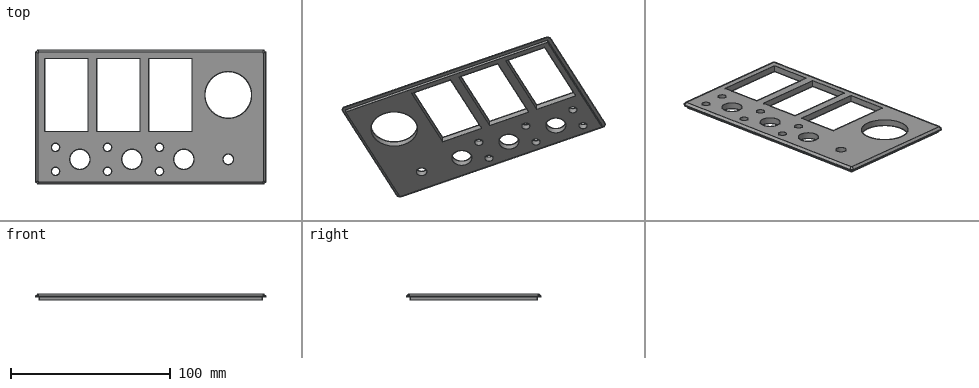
import cadquery as cq

length = 143.8
width = 84.0
thickness = 4.0

plug_height = 2.0
plug_inset = 2.2
flange_height = thickness - plug_height
rim_bevel = 1.5
corner_cut = 1.5

channel_count = 3
channel_pitch = 32.5
first_channel_x = -52.8
window_length = 26.9
window_width = 45.5
upper_row_y = 13.8
lower_row_y = -26.5
control_offset_x = 8.5
control_diameter = 12.5
pilot_offset_x = -6.8
pilot_spacing = 15.0
pilot_diameter = 5.0

master_x = 48.5
master_diameter = 29.0
master_pilot_diameter = 6.5


def panel_body():
    """Bevelled flange on top of a plain rectangular plug."""
    plug = cq.Workplane("XY").box(
        length - 2 * plug_inset,
        width - 2 * plug_inset,
        plug_height,
        centered=(True, True, False),
    )
    flange = (
        cq.Workplane("XY")
        .workplane(offset=plug_height)
        .box(length, width, flange_height, centered=(True, True, False))
        .edges("|Z")
        .chamfer(corner_cut)
        .faces(">Z")
        .edges()
        .chamfer(rim_bevel)
    )
    return plug.union(flange)


def round_cutter(x, y, diameter):
    """Cylinder through the full panel thickness."""
    return cq.Workplane("XY").center(x, y).circle(diameter / 2).extrude(thickness)


def channel_cutter(x):
    """Through openings of one channel centred on x."""
    cutter = cq.Workplane("XY").center(x, upper_row_y).rect(window_length, window_width).extrude(thickness)
    cutter = cutter.add(round_cutter(x + control_offset_x, lower_row_y, control_diameter))
    for side in (-1, 1):
        pilot_y = lower_row_y + side * pilot_spacing / 2
        cutter = cutter.add(round_cutter(x + pilot_offset_x, pilot_y, pilot_diameter))
    return cutter.combine()


result = panel_body()
for channel in range(channel_count):
    result = result.cut(channel_cutter(first_channel_x + channel * channel_pitch))
result = result.cut(round_cutter(master_x, upper_row_y, master_diameter))
result = result.cut(round_cutter(master_x, lower_row_y, master_pilot_diameter))